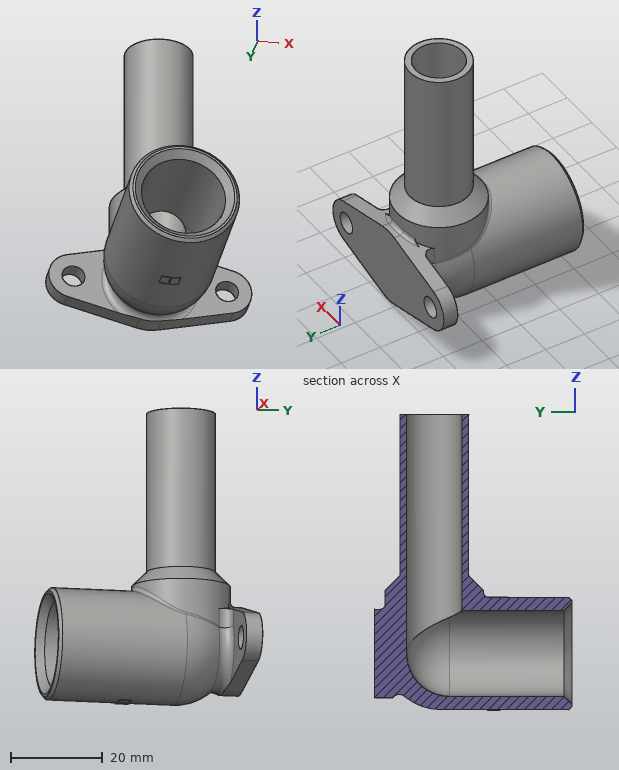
import cadquery as cq
import math

barrel_radius = 24.5 / 2
barrel_front_y = -30.0
ball_y = -1.4
mouth_chamfer = 0.7

tube_radius = 15.0 / 2
collar_radius = 21.5 / 2
collar_top_z = 13.7
cone_top_z = collar_top_z + collar_radius - tube_radius
tube_top_z = 52.0

barrel_bore_radius = 18.6 / 2
tube_bore_radius = 12.0 / 2
mouth_radius = 11.0
countersink_depth = mouth_radius - barrel_bore_radius
bore_end_y = tube_bore_radius - barrel_bore_radius

plate_back_y = 13.0
plate_thickness = 3.6
plate_front_y = plate_back_y - plate_thickness
plate_center_radius = 9.65
lug_radius = 5.5
lug_offset = (45.0 - 2 * lug_radius) / 2
screw_hole_diameter = 5.0

plate_fillet = 1.8
collar_fillet = 0.95

mark_height = 0.2
mark_width = 2.0
mark_length = 2.7
mark_gap = 0.25
mark_center_y = -12.9


def cylinder_along_y(radius, start_y, end_y):
    """Cylinder around the Y axis."""
    return cq.Workplane("XZ", origin=(0, start_y, 0)).circle(radius).extrude(start_y - end_y)


def make_plate(front_y):
    """Round centre with two lugs, joined by tangent straight edges; it reaches forward to front_y."""
    sine = (plate_center_radius - lug_radius) / lug_offset
    cosine = math.sqrt(1 - sine**2)
    center_x = plate_center_radius * sine
    center_z = plate_center_radius * cosine
    lug_x = lug_offset + lug_radius * sine
    lug_z = lug_radius * cosine
    lug_end_x = lug_offset + lug_radius
    return (
        cq.Workplane("XZ", origin=(0, plate_back_y, 0))
        .moveTo(-center_x, center_z)
        .threePointArc((0, plate_center_radius), (center_x, center_z))
        .lineTo(lug_x, lug_z)
        .threePointArc((lug_end_x, 0), (lug_x, -lug_z))
        .lineTo(center_x, -center_z)
        .threePointArc((0, -plate_center_radius), (-center_x, -center_z))
        .lineTo(-lug_x, -lug_z)
        .threePointArc((-lug_end_x, 0), (-lug_x, lug_z))
        .close()
        .extrude(plate_back_y - front_y)
    )


def make_barrel():
    """Barrel with a chamfered mouth and a ball-shaped back end."""
    barrel = cylinder_along_y(barrel_radius, barrel_front_y, ball_y)
    ball = cq.Workplane("XY", origin=(0, ball_y, 0)).sphere(barrel_radius)
    return barrel.faces("<Y").chamfer(mouth_chamfer).union(ball)


def make_riser():
    """Collar, cone and tube, turned around the Z axis."""
    return (
        cq.Workplane("XZ")
        .polyline([
            (0, 0),
            (collar_radius, 0),
            (collar_radius, collar_top_z),
            (tube_radius, cone_top_z),
            (tube_radius, tube_top_z),
            (0, tube_top_z),
        ])
        .close()
        .revolve(360, (0, 0), (0, 1))
    )


def make_bores():
    """Countersunk barrel bore with a round end, and the tube bore that opens into it."""
    countersink = cq.Workplane(
        cq.Solid.makeCone(
            mouth_radius,
            barrel_bore_radius,
            countersink_depth,
            pnt=cq.Vector(0, barrel_front_y, 0),
            dir=cq.Vector(0, 1, 0),
        )
    )
    barrel_bore = cylinder_along_y(barrel_bore_radius, barrel_front_y, bore_end_y)
    round_end = cq.Workplane("XY", origin=(0, bore_end_y, 0)).sphere(barrel_bore_radius)
    tube_bore = cq.Workplane("XY").circle(tube_bore_radius).extrude(tube_top_z)
    return barrel_bore.union(round_end).union(countersink).union(tube_bore)


def make_screw_holes():
    return (
        cq.Workplane("XZ", origin=(0, plate_back_y, 0))
        .pushPoints([(-lug_offset, 0), (lug_offset, 0)])
        .circle(screw_hole_diameter / 2)
        .extrude(plate_thickness)
    )

def neck_profile(round_radius, round_y):
    """Half outline, in X and Y, of a neck from a round shape to the plate.

    The side of the neck is a hollow arc tangent to the round and to the front of the plate.
    """
    arc_y = plate_front_y - plate_fillet
    arc_x = math.sqrt((round_radius + plate_fillet) ** 2 - (arc_y - round_y) ** 2)
    share = round_radius / (round_radius + plate_fillet)
    contact = (arc_x * share, round_y + (arc_y - round_y) * share)
    slant = (math.atan2(contact[1] - arc_y, contact[0] - arc_x) % math.tau + math.pi / 2) / 2
    middle = (arc_x + plate_fillet * math.cos(slant), arc_y + plate_fillet * math.sin(slant))
    return (
        cq.Workplane("XY")
        .moveTo(0, round_y)
        .lineTo(*contact)
        .threePointArc(middle, (arc_x, plate_front_y))
        .lineTo(0, plate_front_y)
        .close()
    )


def make_neck():
    """Blend of the ball and of the collar into the plate, trimmed to the outline of the plate."""
    ball_neck = neck_profile(barrel_radius, ball_y).revolve(360, (0, 0), (0, 1))
    half_collar_neck = neck_profile(collar_radius, 0).extrude(plate_center_radius)
    collar_neck = half_collar_neck.union(half_collar_neck.mirror("YZ"))
    return ball_neck.union(collar_neck).intersect(make_plate(ball_y))


def make_fitting():
    fitting = make_barrel().union(make_riser())
    barrel_crease = cq.selectors.BoxSelector(
        (-collar_radius, -collar_radius - collar_fillet, tube_bore_radius),
        (collar_radius, ball_y, barrel_radius + collar_fillet),
    )
    fitting = fitting.edges(barrel_crease).edges("%BSPLINE").fillet(collar_fillet)
    fitting = fitting.union(make_plate(plate_front_y))
    plate_crease = cq.selectors.BoxSelector(
        (-tube_bore_radius, plate_front_y, lug_radius),
        (tube_bore_radius, collar_radius + collar_fillet, plate_center_radius + collar_fillet),
    )
    plate_crease_edges = fitting.edges(plate_crease).edges("%ELLIPSE or %BSPLINE")
    fitting = plate_crease_edges.fillet(collar_fillet)
    fitting = fitting.union(make_neck())
    return fitting.cut(make_bores()).cut(make_screw_holes())


def make_mark(center_x):
    """Plain raised pad that follows the underside of the barrel."""
    shell = (
        cq.Workplane("XZ", origin=(0, mark_center_y + mark_length / 2, 0))
        .circle(barrel_radius + mark_height)
        .circle(barrel_radius)
        .extrude(mark_length)
    )
    block = cq.Workplane("XY", origin=(center_x, mark_center_y, 0)).rect(mark_width, mark_length)
    return shell.intersect(block.extrude(-2 * barrel_radius))


fitting = make_fitting()
mark_offset = (mark_width + mark_gap) / 2
marks = [make_mark(side * mark_offset) for side in (-1, 1)]
result = cq.Compound.makeCompound([fitting.val(), *[mark.val() for mark in marks]])